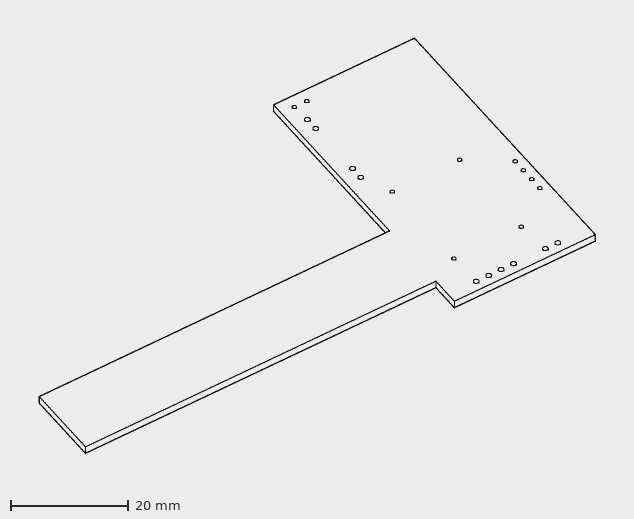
import cadquery as cq

total_length = 100.6
thickness = 1.6
head_width = 56.1
head_height = 28.9
tail_left = 36.0
tail_width = 14.4
tail_length = total_length - head_height
tail_right = tail_left + tail_width

small_diameter = 0.76
large_diameter = 1.0

top_row_x = 34.0
top_row_inset = 1.8
top_row_count = 4
top_row_span = 7.6
pin_pitch = top_row_span / (top_row_count - 1)

right_column_inset = 1.9
right_pair_drop = 6.4
right_pair_count = 2
right_group_drop = 15.5
right_group_count = 4

left_column_inset = 2.4
left_column_drop = 23.6
left_column_count = 2

bottom_row_inset = 2.9
bottom_pair_starts = (6.1, 20.1)
bottom_pair_count = 2

mount_left = 28.5
mount_drop = 9.6
mount_spacing_x = 19.1
mount_spacing_y = 13.8


def row(start_x, y, count):
    """Hole centres running to the right at the pin pitch."""
    return [(start_x + i * pin_pitch, y) for i in range(count)]


def column(x, drop, count):
    """Hole centres running down, the first one `drop` below the top edge."""
    return [(x, total_length - drop - i * pin_pitch) for i in range(count)]


def drill(body, centres, diameter):
    """Cut round holes through the full thickness."""
    cutters = cq.Workplane("XY").pushPoints(centres).circle(diameter / 2).extrude(thickness)
    return body.cut(cutters)


plate = (
    cq.Workplane("XY")
    .moveTo(0, total_length)
    .lineTo(head_width, total_length)
    .lineTo(head_width, tail_length)
    .lineTo(tail_right, tail_length)
    .lineTo(tail_right, 0)
    .lineTo(tail_left, 0)
    .lineTo(tail_left, tail_length)
    .lineTo(0, tail_length)
    .close()
    .extrude(thickness)
)

mount_top = total_length - mount_drop
small_holes = row(top_row_x, total_length - top_row_inset, top_row_count)
small_holes += column(left_column_inset, left_column_drop, left_column_count)
small_holes += [
    (x, y)
    for x in (mount_left, mount_left + mount_spacing_x)
    for y in (mount_top, mount_top - mount_spacing_y)
]

right_column_x = head_width - right_column_inset
large_holes = column(right_column_x, right_pair_drop, right_pair_count)
large_holes += column(right_column_x, right_group_drop, right_group_count)
for start_x in bottom_pair_starts:
    large_holes += row(start_x, tail_length + bottom_row_inset, bottom_pair_count)

plate = drill(plate, small_holes, small_diameter)
result = drill(plate, large_holes, large_diameter)